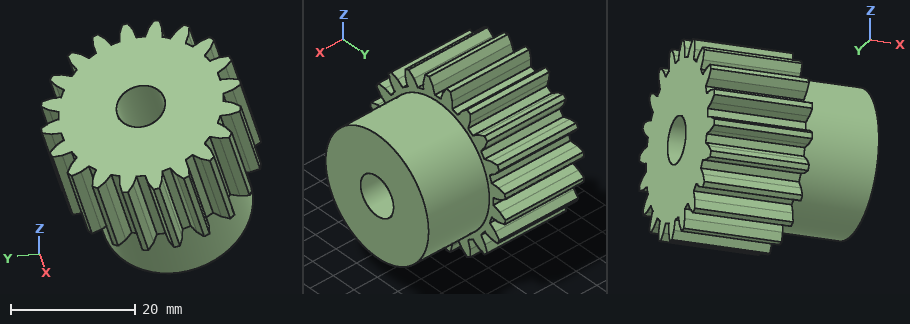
import cadquery as cq
import math

tooth_count = 20
tip_radius = 16.5
flank_bend_radius = 15.05
root_radius = 13.5
face_width = 16.95
hub_length = 13.03
hub_diameter = 24.98
bore_diameter = 8.0

tip_half_angle = 1.7
flank_bend_half_angle = 4.3
root_half_angle = 6

tooth_pitch_angle = 360 / tooth_count
total_length = face_width + hub_length


def polar_point(radius, degrees):
    """Point in the gear plane at a radius and an angle from the Y axis."""
    angle = math.radians(degrees)
    return (radius * math.cos(angle), radius * math.sin(angle))


def tooth_points(centre_angle):
    """Corners of one tooth: each flank is two flat facets that meet at the bend radius."""
    return [
        polar_point(root_radius, centre_angle - root_half_angle),
        polar_point(flank_bend_radius, centre_angle - flank_bend_half_angle),
        polar_point(tip_radius, centre_angle - tip_half_angle),
        polar_point(tip_radius, centre_angle + tip_half_angle),
        polar_point(flank_bend_radius, centre_angle + flank_bend_half_angle),
        polar_point(root_radius, centre_angle + root_half_angle),
    ]


def make_toothed_ring():
    """Gear blank with teeth; a gap between teeth is centred on the Y and Z axes."""
    outline = []
    for tooth in range(tooth_count):
        outline += tooth_points((tooth + 0.5) * tooth_pitch_angle)
    return cq.Workplane("YZ").polyline(outline).close().extrude(face_width)


def make_cylinder(diameter):
    """Cylinder along X over the full length of the part."""
    return cq.Workplane("YZ").circle(diameter / 2).extrude(total_length)


hub = make_cylinder(hub_diameter)
bore = make_cylinder(bore_diameter)
result = make_toothed_ring().union(hub).cut(bore)